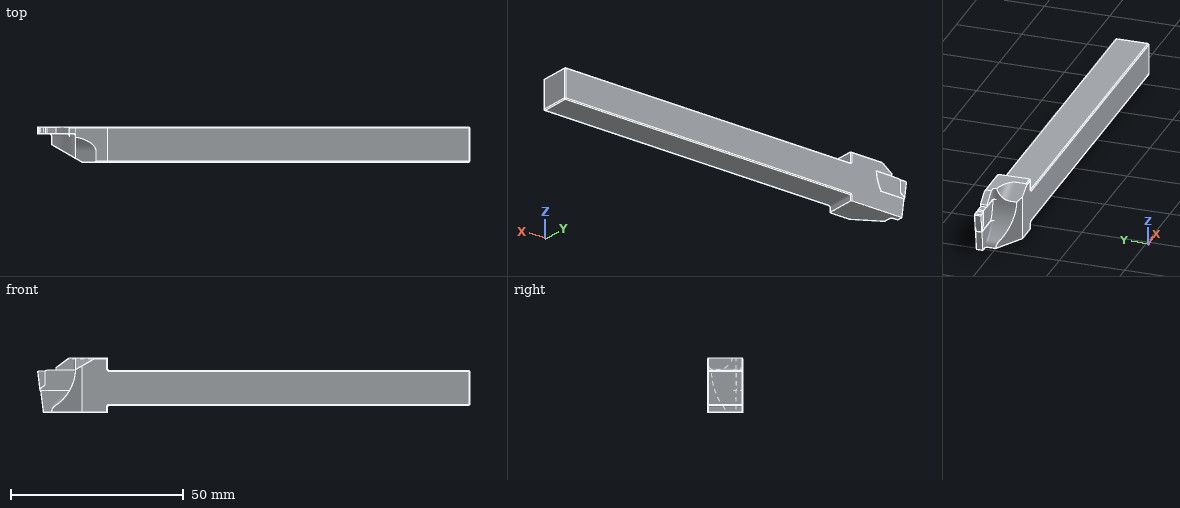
import cadquery as cq
import math


total_length = 125.0
width = 10.2
shank_height = 10.1
shank_bottom = 2.0
edge_chamfer = 0.31

head_height = 15.8
head_end = 20.2
neck_fillet = 0.5
front_bevel_start = 12.9
front_bevel_angle = 30.0

blade_thickness = 2.0
blade_front = width - blade_thickness
blade_tip = 0.9
blade_brow = 5.2
blade_brow_height = 12.9
blade_crest = 9.1

pocket_radius = 13.1
pocket_wall = 11.0
pocket_centre_x = pocket_wall - pocket_radius
pocket_centre_z = 12.9
pocket_lip_radius = 2.2
pocket_root_fillet = 0.8

ramp_angle = 30.0
ramp_end = 16.9
ramp_flat_width = 3.1
ramp_radius = 4.4

seat_height = 6.2
insert_top = 12.2
clearance_angle = 7.0
nose_width = 0.4
nose_height = 0.5
groove_end = 2.8
groove_floor_end = 2.2
groove_depth = 0.2
tip_length = 2.1
tip_straight_bottom = 7.9
tip_heel_height = 6.8
body_side_relief = 0.1

clearance_slope = math.tan(math.radians(clearance_angle))
insert_flank_top = insert_top - nose_height


def plate(outline, y_front, y_back):
    """Extrude an XZ outline from y_front to y_back."""
    return outline.extrude(y_front - y_back).translate((0, y_front, 0))


def pocket_arc_point(angle):
    """XZ point on the large pocket arc, measured in degrees below horizontal."""
    turn = math.radians(angle)
    return (
        pocket_centre_x + pocket_radius * math.cos(turn),
        pocket_centre_z - pocket_radius * math.sin(turn),
    )


def pocket_arc_angle(height):
    """Angle below horizontal, in degrees, at which the large pocket arc has this height."""
    return math.degrees(math.asin((pocket_centre_z - height) / pocket_radius))


def make_blank():
    """Head and shank in one piece, with the blade's front end, brow and bevelled front corner."""
    shank_top = shank_bottom + shank_height
    outline = (
        cq.Workplane("XZ")
        .moveTo(blade_tip + seat_height * clearance_slope, 0)
        .lineTo(head_end, 0)
        .lineTo(head_end, shank_bottom)
        .lineTo(total_length, shank_bottom)
        .lineTo(total_length, shank_top)
        .lineTo(head_end, shank_top)
        .lineTo(head_end, head_height)
        .lineTo(blade_crest, head_height)
        .lineTo(blade_brow, blade_brow_height)
        .lineTo(blade_brow, seat_height)
        .lineTo(blade_tip, seat_height)
        .close()
    )
    blank = plate(outline, 0, width)
    neck_box = cq.selectors.BoxSelector(
        (head_end - neck_fillet, -width, shank_bottom - neck_fillet),
        (head_end + neck_fillet, 2 * width, shank_top + neck_fillet),
    )
    blank = blank.edges("|Y").edges(neck_box).fillet(neck_fillet)
    side_edges_box = cq.selectors.BoxSelector(
        (blade_crest, -width, edge_chamfer),
        (2 * total_length, 2 * width, 2 * head_height),
    )
    blank = blank.edges("<Y or >Y or >X").edges(side_edges_box).chamfer(edge_chamfer)
    bevel_depth = front_bevel_start * math.tan(math.radians(front_bevel_angle))
    bevel = (
        cq.Workplane("XY")
        .polyline([(front_bevel_start, 0), (0, 0), (0, bevel_depth)])
        .close()
        .extrude(head_height)
    )
    return blank.cut(bevel)


def make_pocket():
    """Pocket cutter: a large concave arc that rolls over a small convex lip at the bottom."""
    centre_distance = pocket_radius + pocket_lip_radius
    join_angle = math.degrees(math.asin(pocket_centre_z / centre_distance))
    join = pocket_arc_point(join_angle)
    lip_centre_x = pocket_centre_x + math.sqrt(centre_distance**2 - pocket_centre_z**2)
    lip_x = lip_centre_x - pocket_lip_radius
    lip_mid_turn = math.radians(join_angle / 2)
    lip_mid = (
        lip_centre_x - pocket_lip_radius * math.cos(lip_mid_turn),
        pocket_lip_radius * math.sin(lip_mid_turn),
    )
    outline = (
        cq.Workplane("XZ")
        .moveTo(-pocket_wall, 0)
        .lineTo(lip_x, 0)
        .threePointArc(lip_mid, join)
        .threePointArc(pocket_arc_point(join_angle / 2), pocket_arc_point(0))
        .lineTo(pocket_wall, head_height)
        .lineTo(-pocket_wall, head_height)
        .close()
    )
    pocket = plate(outline, -width, blade_front)
    return pocket.edges(">Y and (not <X) and (not <Z) and (not >Z)").fillet(pocket_root_fillet)


def make_ramp():
    """Ramp cutter: a flat floor that curls up towards the blade, swept down the ramp."""
    slope = math.radians(ramp_angle)
    floor = cq.Plane(
        origin=(ramp_end, 0, head_height),
        xDir=(0, 1, 0),
        normal=(-math.cos(slope), 0, -math.sin(slope)),
    )
    curl_mid = (
        ramp_flat_width + ramp_radius * math.sin(math.pi / 4),
        -ramp_radius * (1 - math.cos(math.pi / 4)),
    )
    curl_end = (ramp_flat_width + ramp_radius, -ramp_radius)
    ramp_length = (ramp_end - pocket_wall) / math.cos(slope)
    return (
        cq.Workplane(floor)
        .moveTo(-width, 0)
        .lineTo(ramp_flat_width, 0)
        .threePointArc(curl_mid, curl_end)
        .lineTo(curl_end[0], -head_height)
        .lineTo(-width, -head_height)
        .close()
        .extrude(ramp_length)
    )


def insert_outline():
    """Side outline of the insert, from the seat up the flank and back along the pocket wall."""
    seat_angle = pocket_arc_angle(seat_height)
    top_angle = pocket_arc_angle(insert_top)
    return (
        cq.Workplane("XZ")
        .moveTo((insert_flank_top - seat_height) * clearance_slope, seat_height)
        .lineTo(0, insert_flank_top)
        .lineTo(nose_width, insert_top - groove_depth)
        .lineTo(groove_floor_end, insert_top - groove_depth)
        .lineTo(groove_end, insert_top)
        .lineTo(*pocket_arc_point(top_angle))
        .threePointArc(pocket_arc_point((top_angle + seat_angle) / 2), pocket_arc_point(seat_angle))
        .close()
    )


def make_insert():
    """Insert body with a tip that stands slightly proud of it on both sides."""
    body_front = blade_front + body_side_relief
    body_back = width - body_side_relief
    body = plate(insert_outline(), body_front, body_back)
    tip_outline = (
        cq.Workplane("XZ")
        .moveTo((insert_flank_top - tip_heel_height) * clearance_slope, tip_heel_height)
        .lineTo(0, insert_flank_top)
        .lineTo(nose_width, insert_top - groove_depth)
        .lineTo(tip_length, insert_top - groove_depth)
        .lineTo(tip_length, tip_straight_bottom)
        .close()
    )
    tip = plate(tip_outline, blade_front, width)
    return body.union(tip).solids()


def make_holder():
    holder = make_blank()
    holder = holder.cut(make_pocket()).cut(make_ramp())
    seat = plate(insert_outline(), blade_front - pocket_root_fillet, width)
    return holder.cut(seat).solids()


insert = make_insert()
holder = make_holder()

result = cq.Compound.makeCompound([holder.val(), insert.val()])